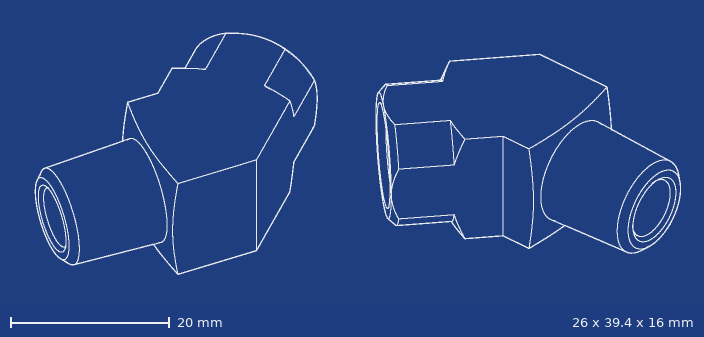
import cadquery as cq
import math

bend_angle = 45.0
overall_length = 39.35
body_width = 16.0
half_width = body_width / 2
corner_radius = half_width * math.sqrt(2)
miter_offset = half_width * math.tan(math.radians(bend_angle / 2))

female_length = 17.5
collar_chamfer = 0.95
collar_radius = half_width + collar_chamfer
collar_start = 9.52
collar_runout_angle = 30.0
female_bore_radius = 11.45 / 2
female_bore_chamfer = 1.0
runout_length = (corner_radius - collar_radius) * math.tan(math.radians(collar_runout_angle))

female_reach_y = (
    female_length * math.cos(math.radians(bend_angle)) + half_width * math.sin(math.radians(bend_angle))
)
male_length = overall_length - female_reach_y
shoulder_corner_distance = 7.48
shoulder_slope = 0.22
male_root_radius = 6.85
male_tip_radius = 6.37
male_chamfer = 1.0
male_bore_radius = 7.8 / 2
male_bore_chamfer = 0.5
shoulder_distance = shoulder_corner_distance + shoulder_slope * (corner_radius - male_root_radius)



def revolve_profile(points):
    """Revolve (radius, distance) points about the +Y axis."""
    return cq.Workplane("XY").polyline(points).close().revolve(360, (0, 0, 0), (0, 1, 0))


def along_male(shape):
    return shape.rotate((0, 0, 0), (0, 0, 1), 180)


def along_female(shape):
    return shape.rotate((0, 0, 0), (0, 0, 1), bend_angle)


def half_body(length):
    """Square bar along +Y, its inner end mitered so the +X side is longer."""
    return (
        cq.Workplane("XY")
        .polyline([
            (-half_width, miter_offset),
            (half_width, -miter_offset),
            (half_width, length),
            (-half_width, length),
        ])
        .close()
        .extrude(half_width, both=True)
    )


def male_half():
    cone = revolve_profile([
        (0, -body_width),
        (2 * half_width, -body_width),
        (2 * half_width, shoulder_corner_distance - shoulder_slope * (2 * half_width - corner_radius)),
        (male_root_radius, shoulder_distance),
        (0, shoulder_distance),
    ])
    stem = revolve_profile([
        (0, 0),
        (male_root_radius, 0),
        (male_root_radius, shoulder_distance),
        (male_tip_radius, male_length - male_chamfer),
        (male_tip_radius - male_chamfer, male_length),
        (0, male_length),
    ])
    bar = half_body(male_length).mirror("YZ")
    return along_male(bar.intersect(cone.union(stem)))


def female_half():
    envelope = revolve_profile([
        (0, -body_width),
        (corner_radius, -body_width),
        (corner_radius, collar_start - runout_length),
        (collar_radius, collar_start),
        (collar_radius, female_length - collar_chamfer),
        (half_width, female_length),
        (0, female_length),
    ])
    bar = half_body(female_length)
    return along_female(bar.intersect(envelope))


def bore(bore_start, radius, length, chamfer):
    return revolve_profile([
        (0, bore_start),
        (radius, bore_start),
        (radius, length - chamfer),
        (radius + chamfer, length),
        (0, length),
    ])


male_bore = along_male(bore(-male_bore_radius, male_bore_radius, male_length, male_bore_chamfer))
female_bore = along_female(bore(0, female_bore_radius, female_length, female_bore_chamfer))

result = male_half().union(female_half()).cut(male_bore).cut(female_bore)